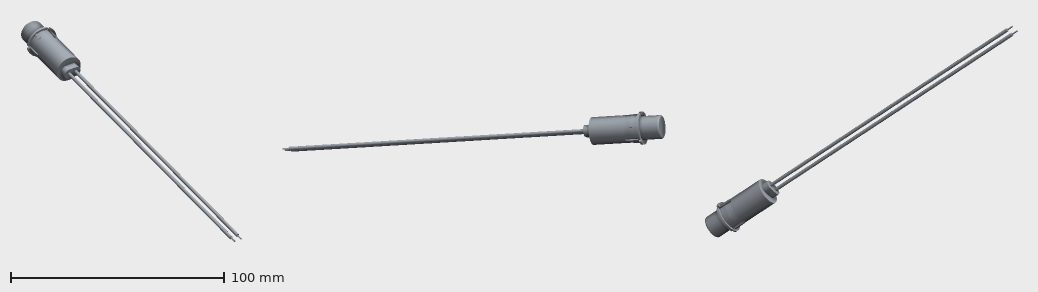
import cadquery as cq

LENGTH = 186.7
FLANGE_FRONT = 9.3
FLANGE_BACK = 10.5
COLLAR_END = 13.8
CONE_END = 16.6
SLOT_END = 17.2
HOUSING_END = 34.4
GROMMET_END = 37.7
INSULATION_END = 183.5

FLANGE_RADIUS = 7.8
COLLAR_RADIUS = 6.7
HOUSING_RADIUS = 6.5
BORE_RADIUS = 6.0
SLOT_WIDTH = 1.3
RIB_WIDTH = 1.3
RIB_RADIUS = 7.1
REPEAT_COUNT = 3
REPEAT_ANGLE = 360.0 / REPEAT_COUNT
SLOT_START_ANGLE = 180.0
RIB_START_ANGLE = SLOT_START_ANGLE + REPEAT_ANGLE / 2

LENS_RADIUS = 5.6
LENS_FILLET = 0.7

WIRE_SPACING = 3.5
GROMMET_THICKNESS = 5.2
WIRE_RADIUS = 0.84
CONDUCTOR_RADIUS = 0.4


def cylinder(radius, x_start, x_end, y=0.0):
    """Solid cylinder along X between two stations."""
    return (
        cq.Workplane("YZ", origin=(x_start, y, 0))
        .circle(radius)
        .extrude(x_end - x_start)
    )


def radial_block(width, inner, outer, x_start, x_end, angle):
    """Block reaching outward between two radii; an angle of 0 points along +Y, 90 along +Z."""
    block = cq.Workplane("XY").box(
        x_end - x_start, outer - inner, width, centered=(False, False, True)
    )
    return block.translate((x_start, inner, 0)).rotate((0, 0, 0), (1, 0, 0), angle)


def make_rib(angle):
    """Axial rib on the collar, with an outer face concentric with the housing."""
    block = radial_block(RIB_WIDTH, BORE_RADIUS, FLANGE_RADIUS, FLANGE_BACK, COLLAR_END, angle)
    return block.intersect(cylinder(RIB_RADIUS, FLANGE_BACK, COLLAR_END))


def make_slot(angle):
    """Cutter for an axial slot that opens the lens bore to the outside."""
    inner = BORE_RADIUS / 2
    outer = FLANGE_RADIUS + BORE_RADIUS
    return radial_block(SLOT_WIDTH, inner, outer, FLANGE_FRONT, SLOT_END, angle)


def make_housing():
    """Flanged tube with a collar that tapers to the barrel, three ribs and three slots."""
    profile = [
        (FLANGE_FRONT, 0),
        (FLANGE_FRONT, FLANGE_RADIUS),
        (FLANGE_BACK, FLANGE_RADIUS),
        (FLANGE_BACK, COLLAR_RADIUS),
        (COLLAR_END, COLLAR_RADIUS),
        (CONE_END, HOUSING_RADIUS),
        (HOUSING_END, HOUSING_RADIUS),
        (HOUSING_END, 0),
    ]
    housing = cq.Workplane("XY").polyline(profile).close().revolve(360, (0, 0, 0), (1, 0, 0))
    for i in range(REPEAT_COUNT):
        housing = housing.union(make_rib(RIB_START_ANGLE + i * REPEAT_ANGLE))
    housing = housing.cut(cylinder(BORE_RADIUS, FLANGE_FRONT, SLOT_END))
    for i in range(REPEAT_COUNT):
        housing = housing.cut(make_slot(SLOT_START_ANGLE + i * REPEAT_ANGLE))
    return housing


def make_lens():
    """Round lens with a filleted front rim, seated on the floor of the bore with side clearance."""
    return cylinder(LENS_RADIUS, 0, SLOT_END).faces("<X").edges().fillet(LENS_FILLET)


def make_grommet():
    """Obround block behind the housing, its end arcs centred on the wires."""
    return (
        cq.Workplane("YZ", origin=(HOUSING_END, 0, 0))
        .slot2D(WIRE_SPACING + GROMMET_THICKNESS, GROMMET_THICKNESS)
        .extrude(GROMMET_END - HOUSING_END)
    )


def make_wire(y):
    """Insulated wire starting at the grommet, with a stripped conductor at its free end."""
    insulation = cylinder(WIRE_RADIUS, GROMMET_END, INSULATION_END, y)
    conductor = cylinder(CONDUCTOR_RADIUS, INSULATION_END, LENGTH, y)
    return insulation.union(conductor)


housing = make_housing()
lens = make_lens()
grommet = make_grommet()
wires = [make_wire(side * WIRE_SPACING / 2) for side in (-1, 1)]

result = cq.Compound.makeCompound(
    [housing.val(), lens.val(), grommet.val(), *[wire.val() for wire in wires]]
)